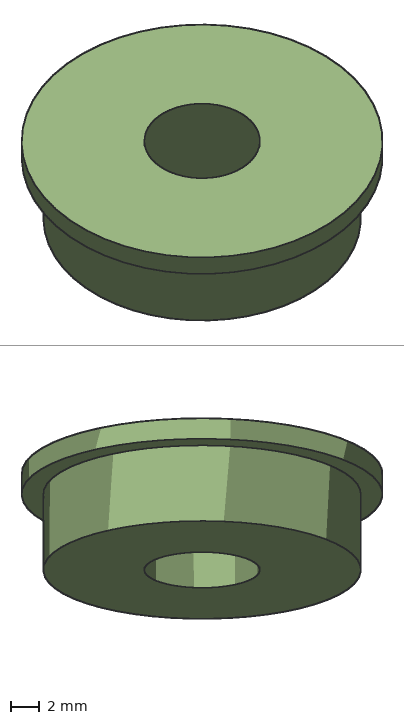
import cadquery as cq

flange_diameter = 25
body_diameter = 22
bore_diameter = 8
total_height = 7
flange_thickness = 1.5

body_height = total_height - flange_thickness

body = cq.Workplane("XY").circle(body_diameter / 2).extrude(body_height)

flange = (
    cq.Workplane("XY", origin=(0, 0, body_height))
    .circle(flange_diameter / 2)
    .extrude(flange_thickness)
)

bore = cq.Workplane("XY").circle(bore_diameter / 2).extrude(total_height)

result = body.union(flange).cut(bore)